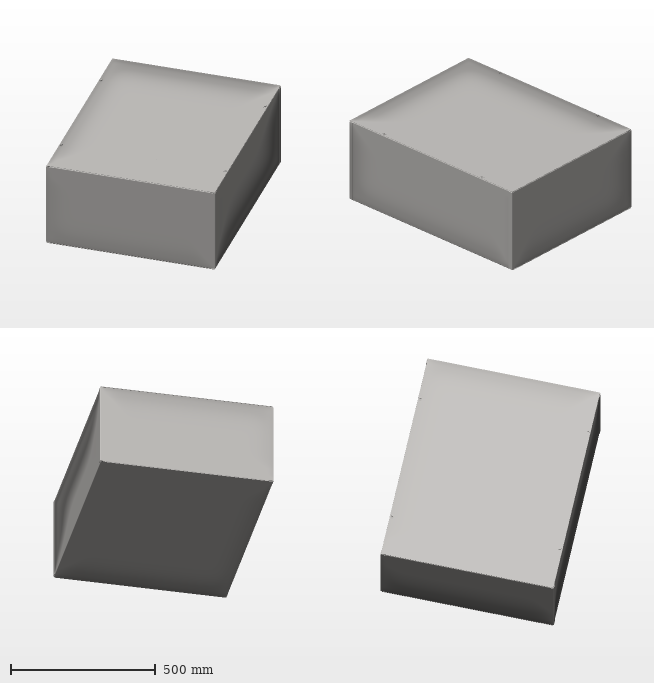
import cadquery as cq

box_width = 613.5
box_length = 762.0
total_height = 312.0

sheet = 1.5
bend_radius = 2.0
inner_radius = bend_radius - sheet
side_flange = 17.0
side_rim = 17.5

cover_side_gap = 2.0
cover_front_gap = 1.5
cover_back_gap = 1.0

screw_x = 296.5
screw_y = 228.5
head_diameter = 7.2
head_height = 3.0
shank_diameter = 4.35
shank_length = 11.5
slot_width = 4.8
keyhole_diameter = 10.0
keyhole_offset = 7.0

half_width = box_width / 2
half_length = box_length / 2
cover_top = total_height - head_height
rim_top = cover_top - sheet
wrap_half_width = half_width - sheet
rim_half_width = half_width - side_rim
screw_points = [(x, y) for x in (-screw_x, screw_x) for y in (-screw_y, screw_y)]


def block(half_x, y_limits, z_limits):
    """Block centred on X between the given Y and Z limits."""
    size_y = y_limits[1] - y_limits[0]
    size_z = z_limits[1] - z_limits[0]
    blank = cq.Workplane("XY").box(2 * half_x, size_y, size_z, centered=(True, False, False))
    return blank.translate((0, y_limits[0], z_limits[0]))


def disc(x, y, diameter, z_limits):
    """Vertical cylinder between the given Z limits."""
    base = cq.Workplane("XY", origin=(x, y, z_limits[0]))
    return base.circle(diameter / 2).extrude(z_limits[1] - z_limits[0])


def make_wrap():
    """Floor and both X walls bent from one sheet, with inward rims that take the screws."""
    wall_end = half_length - bend_radius
    walls_y = (-wall_end, wall_end)
    outer = block(wrap_half_width, walls_y, (0, rim_top))
    outer = outer.edges("|Y").fillet(bend_radius)
    cavity = block(wrap_half_width - sheet, walls_y, (sheet, rim_top - sheet))
    cavity = cavity.edges("|Y").fillet(inner_radius)
    opening = block(rim_half_width, walls_y, (rim_top - 2 * sheet, rim_top))
    floor = block(wrap_half_width - bend_radius, (-half_length, half_length), (0, sheet))
    wrap = outer.cut(cavity).cut(opening).union(floor)
    for x, y in screw_points:
        wrap = wrap.cut(disc(x, y, shank_diameter, (rim_top - sheet, rim_top)))
    return wrap


def make_back_panel():
    """Panel closing the +Y end, bent inward on all four sides."""
    full_depth = (half_length - side_flange, half_length)
    hollow_depth = (half_length - side_flange, half_length - sheet)

    side_z = (sheet + bend_radius, rim_top - bend_radius)
    sides = block(half_width, full_depth, side_z)
    sides = sides.edges("|Z and >Y").fillet(bend_radius)
    side_hollow = block(wrap_half_width, hollow_depth, side_z)
    side_hollow = side_hollow.edges("|Z and >Y").fillet(inner_radius)

    rims = block(rim_half_width, full_depth, (sheet, rim_top))
    rims = rims.edges("|X and >Y").fillet(bend_radius)
    rim_hollow = block(rim_half_width, hollow_depth, (2 * sheet, rim_top - sheet))
    rim_hollow = rim_hollow.edges("|X and >Y").fillet(inner_radius)

    return sides.cut(side_hollow).union(rims.cut(rim_hollow))


def make_cover():
    """Flat lid with a keyhole at each screw."""
    thickness = (rim_top, cover_top)
    cover_y = (-half_length + cover_front_gap, half_length - cover_back_gap)
    cover = block(half_width - cover_side_gap, cover_y, thickness)
    for x, y in screw_points:
        entry_y = y - keyhole_offset
        slot = block(slot_width / 2, (entry_y, y), thickness).translate((x, 0, 0))
        cover = cover.cut(slot)
        cover = cover.cut(disc(x, y, slot_width, thickness))
        cover = cover.cut(disc(x, entry_y, keyhole_diameter, thickness))
    return cover


def make_screw(x, y):
    """Screw with a plain round head resting on the cover."""
    head = disc(x, y, head_diameter, (cover_top, total_height))
    shank = disc(x, y, shank_diameter, (cover_top - shank_length, cover_top))
    return head.union(shank)


wrap = make_wrap()
back_panel = make_back_panel()
front_panel = back_panel.mirror("XZ")
cover = make_cover()
screws = [make_screw(x, y) for x, y in screw_points]

result = cq.Compound.makeCompound([
    wrap.val(),
    back_panel.val(),
    front_panel.val(),
    cover.val(),
    *[screw.val() for screw in screws],
])